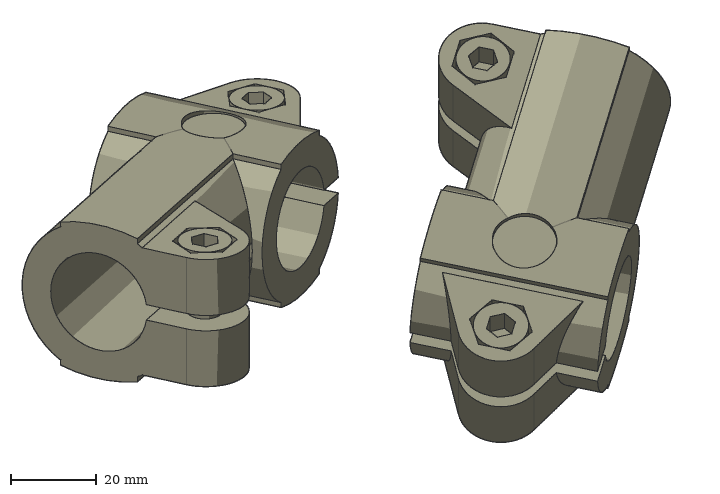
import cadquery as cq
import math

overall_x = 55.4
overall_y = 92.7
tube_diameter = 40.0
tube_radius = tube_diameter / 2
bore_diameter = 25.0
cross_length = 45.1
leg_length = 60.0
leg_bore_depth = leg_length - tube_radius

strip_width = 20.0
strip_edge_drop = 1.4

recess_diameter = 15.0
recess_depth = 1.2

lug_height = 33.0
lug_base = math.sqrt(tube_radius**2 - (lug_height / 2) ** 2)
slot_width = 4.0
cross_lug_tip = overall_y - leg_length
cross_lug_radius = 10.1
cross_lug_half_base = 16.9
leg_lug_tip = overall_x - cross_length / 2
leg_lug_radius = 10.1
leg_lug_half_base = 17.5

screw_offset = 22.5
leg_screw_y = leg_lug_radius - leg_length
shank_diameter = 8.0
cross_head_diameter = 12.9
leg_head_diameter = 12.6
pocket_across_corners = 15.0
pocket_depth = 8.0
socket_across_corners = 6.95
socket_depth = 6.0
socket_turn = 30

origin = (0, 0, 0)
z_axis = (0, 0, 1)
lug_top = (0, 0, lug_height / 2)


def tube(length):
    """Solid tube body along -Y from the origin, with a strip above and below."""
    half_strip = strip_width / 2
    edge_height = tube_radius - strip_edge_drop
    round_body = cq.Workplane("XZ").circle(tube_radius).extrude(length)
    strips = (
        cq.Workplane("XZ")
        .moveTo(-half_strip, -edge_height)
        .lineTo(-half_strip, edge_height)
        .threePointArc((0, tube_radius), (half_strip, edge_height))
        .lineTo(half_strip, -edge_height)
        .threePointArc((0, -tube_radius), (-half_strip, -edge_height))
        .close()
        .extrude(length)
    )
    return round_body.union(strips)


def flank_tangent(half_base, center, radius):
    """Point where a flank from the lug base runs tangent into the rounded tip."""
    reach = center - lug_base
    distance = math.hypot(reach, half_base)
    angle = math.atan2(half_base, -reach) - math.acos(radius / distance)
    return (center + radius * math.cos(angle), radius * math.sin(angle))


def cross_lug():
    """Cross tube lug with two sloping flanks, drawn pointing to +X."""
    center = cross_lug_tip - cross_lug_radius
    tangent_x, tangent_y = flank_tangent(cross_lug_half_base, center, cross_lug_radius)
    return (
        cq.Workplane("XY")
        .moveTo(lug_base, -cross_lug_half_base)
        .lineTo(tangent_x, -tangent_y)
        .threePointArc((cross_lug_tip, 0), (tangent_x, tangent_y))
        .lineTo(lug_base, cross_lug_half_base)
        .close()
        .extrude(lug_height / 2, both=True)
    )


def leg_lug():
    """Lug pointing to +X, with one sloping flank and one flank square to the tube."""
    center = leg_lug_tip - leg_lug_radius
    tangent_x, tangent_y = flank_tangent(leg_lug_half_base, center, leg_lug_radius)
    return (
        cq.Workplane("XY")
        .moveTo(lug_base, -leg_lug_radius)
        .lineTo(center, -leg_lug_radius)
        .threePointArc((leg_lug_tip, 0), (tangent_x, tangent_y))
        .lineTo(lug_base, leg_lug_half_base)
        .close()
        .extrude(lug_height / 2, both=True)
    )


def hex_prism(across_corners, depth):
    """Hexagonal prism with corners on the X axis, hanging down from the lug top face."""
    return (
        cq.Workplane("XY", origin=lug_top)
        .polygon(6, across_corners)
        .extrude(-depth)
    )


def add_screw(body, x, y, head_diameter, pocket_turn):
    """Cut the hex pocket and fill it with a screw whose shank bridges the slot."""
    pocket = hex_prism(pocket_across_corners, pocket_depth)
    head = (
        cq.Workplane("XY", origin=lug_top)
        .circle(head_diameter / 2)
        .extrude(-pocket_depth)
    )
    socket = hex_prism(socket_across_corners, socket_depth).rotate(origin, z_axis, socket_turn)
    shank = cq.Workplane("XY").circle(shank_diameter / 2).extrude(slot_width / 2, both=True)
    turn = (origin, z_axis, pocket_turn)
    place = (x, y, 0)
    body = body.cut(pocket.rotate(*turn).translate(place))
    screw = head.cut(socket.rotate(*turn))
    return body.union(screw.translate(place)).union(shank.translate(place))


cross_tube = tube(cross_length).translate((0, cross_length / 2, 0)).rotate(origin, z_axis, 90)
body = (
    cross_tube
    .union(tube(leg_length))
    .union(cross_lug().rotate(origin, z_axis, 90))
    .union(leg_lug().translate((0, leg_screw_y, 0)))
)

cross_bore = cq.Workplane("YZ").circle(bore_diameter / 2).extrude(cross_length / 2, both=True)
leg_bore = (
    cq.Workplane("XZ", origin=(0, -leg_length, 0))
    .circle(bore_diameter / 2)
    .extrude(-leg_bore_depth)
)
body = body.cut(cross_bore).cut(leg_bore)

cross_slot = (
    cq.Workplane("XY")
    .box(cross_length, cross_lug_tip, slot_width, centered=(True, False, True))
)
leg_slot = (
    cq.Workplane("XY", origin=(0, -leg_length, 0))
    .box(leg_lug_tip, leg_bore_depth, slot_width, centered=(False, False, True))
)
body = body.cut(cross_slot).cut(leg_slot)

recess = (
    cq.Workplane("XY", origin=(0, 0, tube_radius))
    .circle(recess_diameter / 2)
    .extrude(-recess_depth)
)
body = body.cut(recess)

body = add_screw(body, 0, screw_offset, cross_head_diameter, 0)
result = add_screw(body, screw_offset, leg_screw_y, leg_head_diameter, 90)